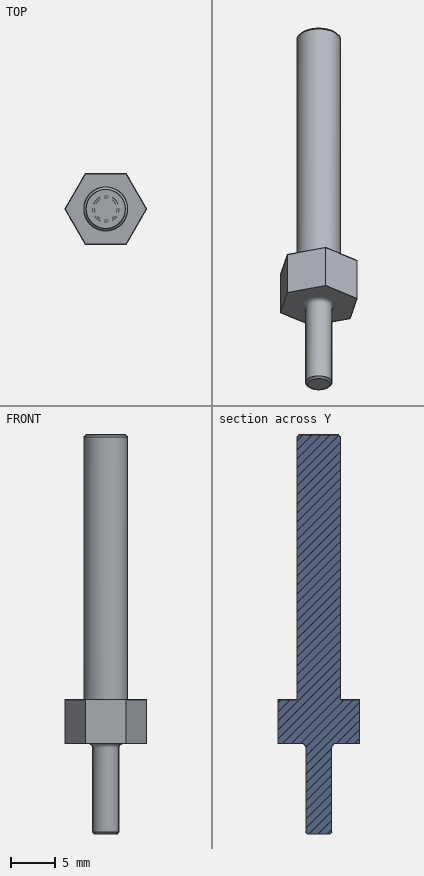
import cadquery as cq
import math

total_length = 45.3
hex_across_flats = 8.0
hex_bottom = 10.3
hex_height = 5
shaft_diameter = 5
shaft_chamfer = 0.25
pin_diameter = 3.0
pin_chamfer = 0.23
root_fillet = 0.5

hex_top = hex_bottom + hex_height


def make_hex_collar():
    """Hexagon with corners on the X axis and flats facing Y."""
    across_corners = hex_across_flats / math.cos(math.radians(30))
    return (
        cq.Workplane("XY", origin=(0, 0, hex_bottom))
        .polygon(6, across_corners)
        .extrude(hex_height)
    )


def make_shaft():
    """Upper rod with a chamfered free end."""
    return (
        cq.Workplane("XY", origin=(0, 0, hex_top))
        .circle(shaft_diameter / 2)
        .extrude(total_length - hex_top)
        .faces(">Z")
        .chamfer(shaft_chamfer)
    )


def make_pin():
    """Lower pin, chamfered at its end and flared by a fillet under the collar."""
    radius = pin_diameter / 2
    return (
        cq.Workplane("XZ")
        .lineTo(radius - pin_chamfer, 0)
        .lineTo(radius, pin_chamfer)
        .lineTo(radius, hex_bottom - root_fillet)
        .radiusArc((radius + root_fillet, hex_bottom), root_fillet)
        .lineTo(0, hex_bottom)
        .close()
        .revolve(360, (0, 0), (0, 1))
    )


result = make_hex_collar().union(make_shaft()).union(make_pin())